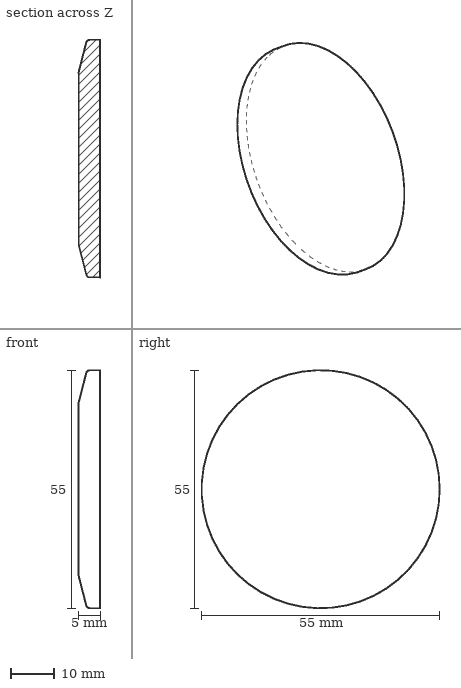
import cadquery as cq

outer_radius = 27.5
thickness = 5.0
rim_width = 2.3
face_radius = 19.9
lip_radius = 20.15
lip_depth = 0.05
cone_edge_radius = 26.8
cone_edge_depth = 1.75

front_x = -thickness / 2
back_x = thickness / 2
lip_x = front_x + lip_depth
cone_edge_x = front_x + cone_edge_depth
rim_x = back_x - rim_width


profile = (
    cq.Workplane("XY")
    .moveTo(back_x, 0)
    .lineTo(back_x, outer_radius)
    .lineTo(rim_x, outer_radius)
    .tangentArcPoint((cone_edge_x, cone_edge_radius), relative=False)
    .lineTo(lip_x, lip_radius)
    .lineTo(front_x, face_radius)
    .lineTo(front_x, 0)
    .close()
)

result = profile.revolve(360, (0, 0, 0), (1, 0, 0))